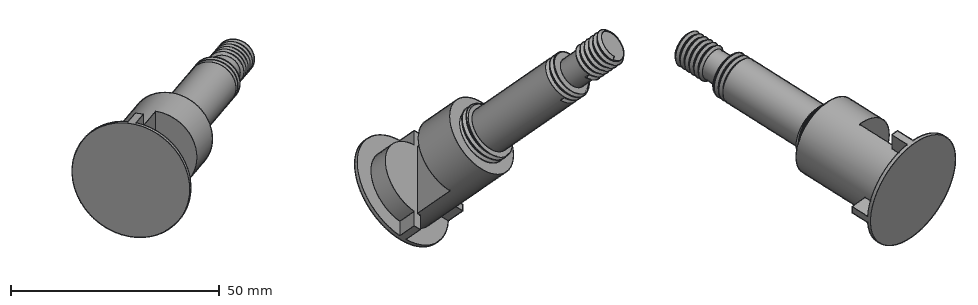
import cadquery as cq
import math

PLATE_TOP = 1.0
RIB_TOP = 6.0
NOTCH_TOP = 17.5
BODY_TOP = 28.5
COLLAR_TOP = 31.5
SHAFT_GROOVE_START = 56.8
SHAFT_TOP = 60.3
STUD_CORE_TOP = 74.0
OVERALL_LENGTH = 75.0

PLATE_DIAMETER = 30.0
BODY_DIAMETER = 21.0
COLLAR_DIAMETER = 15.0
SHAFT_DIAMETER = 12.0
STUD_DIAMETER = 8.0

RIB_WIDTH = 2.0

PITCH = 1.5
THREAD_DEPTH = 0.7
THREAD_BASE = 1.4
THREAD_OVERLAP = 0.1
STUD_TURNS = 6
STUD_THREAD_START = OVERALL_LENGTH - THREAD_BASE / 2 - STUD_TURNS * PITCH
BLANK_EXTRA = 4 * PITCH
COLLAR_GROOVE_START = BODY_TOP - 1.5 * PITCH


def cylinder(diameter, start, end):
    """Cylinder on the Y axis between two stations."""
    return cq.Workplane("XZ", origin=(0, start, 0)).circle(diameter / 2).extrude(start - end)


def helical_wedge(base_radius, tip_radius, start, turns):
    """Triangular section swept along a helix about Y, starting on the -Z side."""
    half_base = THREAD_BASE / 2
    profile = [(base_radius, -half_base), (tip_radius, 0), (base_radius, half_base)]
    path = cq.Workplane(cq.Wire.makeHelix(PITCH, turns * PITCH, base_radius))
    wedge = cq.Workplane("XZ").polyline(profile).close().sweep(path, isFrenet=True)
    wedge = wedge.rotate((0, 0, 0), (0, 0, 1), 90)
    return wedge.rotate((0, 0, 0), (1, 0, 0), -90).translate((0, start, 0))


def grooved_cylinder(diameter, start, end, groove_start):
    """Cylinder with a V groove that runs out through its +Y end, and its -Y end if it starts before it."""
    radius = diameter / 2
    turns = math.ceil((end - groove_start) / PITCH) + 1
    groove = helical_wedge(radius + THREAD_OVERLAP, radius - THREAD_DEPTH, groove_start, turns)
    blank = cylinder(diameter, start - BLANK_EXTRA, end + BLANK_EXTRA)
    return blank.cut(groove).intersect(cylinder(PLATE_DIAMETER, start, end))


def threaded_stud():
    """Plain neck and core carrying a raised helical ridge at the tip."""
    radius = STUD_DIAMETER / 2
    ridge = helical_wedge(
        radius - THREAD_OVERLAP, radius + THREAD_DEPTH, STUD_THREAD_START, STUD_TURNS
    )
    return cylinder(STUD_DIAMETER, SHAFT_TOP, STUD_CORE_TOP).union(ridge)


def notched_body():
    """Cylindrical body with its +X half removed between the ribs and the head."""
    notch_height = NOTCH_TOP - RIB_TOP
    notch = cq.Workplane("XY").box(
        BODY_DIAMETER, notch_height, BODY_DIAMETER, centered=(False, False, True)
    )
    return cylinder(BODY_DIAMETER, 0, BODY_TOP).cut(notch.translate((0, RIB_TOP, 0)))


def ribs():
    """Three radial ribs on the plate, toward -X, +Z and -Z."""
    radius = PLATE_DIAMETER / 2
    arm = cq.Workplane("XY").box(radius, RIB_TOP, RIB_WIDTH, centered=(False, False, True))
    cross = arm.rotate((0, 0, 0), (0, 1, 0), 90)
    for angle in (180, 270):
        cross = cross.union(arm.rotate((0, 0, 0), (0, 1, 0), angle))
    return cross.intersect(cylinder(PLATE_DIAMETER, 0, RIB_TOP))


result = (
    cylinder(PLATE_DIAMETER, 0, PLATE_TOP)
    .union(notched_body())
    .union(ribs())
    .union(grooved_cylinder(COLLAR_DIAMETER, BODY_TOP, COLLAR_TOP, COLLAR_GROOVE_START))
    .union(grooved_cylinder(SHAFT_DIAMETER, COLLAR_TOP, SHAFT_TOP, SHAFT_GROOVE_START))
    .union(threaded_stud())
)